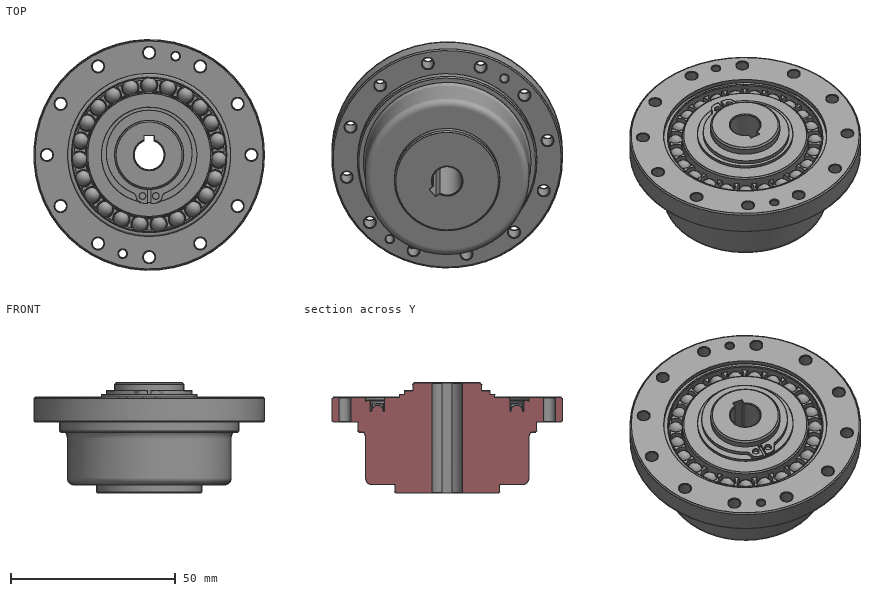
import cadquery as cq
import math

TOTAL_HEIGHT = 33.5
HOUSING_BOTTOM = 2.5
FLARE_START = 16.45
RIM_BOTTOM = 18.5
FLANGE_BOTTOM = 21.55
FLANGE_TOP = 29.1
SPACER_TOP = 29.95
CLIP_TOP = 31.15

FOOT_DIAMETER = 32.0
HOUSING_DIAMETER = 49.7
RIM_DIAMETER = 54.45
FLANGE_DIAMETER = 70.0
SPACER_DIAMETER = 29.0
HUB_DIAMETER = 21.0

FLANGE_CHAMFER = 0.4
HUB_CHAMFER = 0.5
SMALL_CHAMFER = 0.4
HOUSING_FILLET = 2.0
FLARE_RADIUS = 3.85

BORE_DIAMETER = 9.0
BORE_CHAMFER = 0.3
KEYWAY_WIDTH = 3.0
KEYWAY_REACH = 5.9

HOLE_CIRCLE_RADIUS = 31.0
BOLT_COUNT = 12
BOLT_DIAMETER = 3.5
DOWEL_DIAMETER = 2.45
DOWEL_ANGLES = (75.0, 255.0)
HOLE_CHAMFER = 0.2

OUTER_RING_DIAMETER = 49.5
OUTER_RACE_DIAMETER = 46.6
INNER_RING_DIAMETER = 38.15
OUTER_RING_TOP = 28.2
OUTER_RING_FILLET = 0.6
OUTER_RACE_CHAMFER = 0.3
BALL_COUNT = 23
BALL_DIAMETER = 4.7
BALL_CENTRE_LEVEL = 24.9
BALL_CIRCLE_RADIUS = (OUTER_RACE_DIAMETER + INNER_RING_DIAMETER) / 4
FIRST_BALL_ANGLE = 90.0
CAGE_INNER_RADIUS = 19.4
CAGE_OUTER_RADIUS = 22.75
CAGE_TOP = 27.1
CAGE_POCKET_DIAMETER = 5.25

CLIP_RADIUS = 13.0
CLIP_OFFSET = 0.55
LUG_RADIUS = 14.8
LUG_TIP_X = 2.25
LUG_CORNER = (3.35, -14.0)
LUG_SIDE = (3.9, -12.75)
LUG_NECK = (4.35, -11.9)
LUG_ROOT_X = 5.25
LUG_HOLE_DIAMETER = 2.0
LUG_HOLE_X = 2.0
LUG_HOLE_Y = -12.45
CLIP_GAP = 1.05


def disc(diameter, bottom, top):
    """Cylinder on the axis between two levels."""
    return cq.Workplane("XY").workplane(offset=bottom).circle(diameter / 2).extrude(top - bottom)


def ring(outer_diameter, inner_diameter, bottom, top):
    """Plain ring on the axis between two levels."""
    return disc(outer_diameter, bottom, top).cut(disc(inner_diameter, bottom, top))


def on_circle(radius, angle):
    """Point at an angle in degrees on a circle around the axis."""
    return (radius * math.cos(math.radians(angle)), radius * math.sin(math.radians(angle)))


def housing_flare():
    """Concave flare that widens the housing below the rim."""
    height = RIM_BOTTOM - FLARE_START
    radius = HOUSING_DIAMETER / 2

    def spread(rise):
        """How far the flare stands out from the housing at a height above its start."""
        return FLARE_RADIUS - math.sqrt(FLARE_RADIUS**2 - rise**2)

    return (
        cq.Workplane("XZ")
        .moveTo(0, FLARE_START)
        .lineTo(radius, FLARE_START)
        .threePointArc(
            (radius + spread(height / 2), FLARE_START + height / 2),
            (radius + spread(height), RIM_BOTTOM),
        )
        .lineTo(0, RIM_BOTTOM)
        .close()
        .revolve(360, (0, 0, 0), (0, 1, 0))
    )


def turned_body():
    """Foot, housing, rim, flange, spacer and hub stacked on the axis."""
    foot = disc(FOOT_DIAMETER, 0, HOUSING_BOTTOM).faces("<Z").chamfer(SMALL_CHAMFER)
    housing = disc(HOUSING_DIAMETER, HOUSING_BOTTOM, FLARE_START)
    housing = housing.faces("<Z").edges().fillet(HOUSING_FILLET)
    rim = disc(RIM_DIAMETER, RIM_BOTTOM, FLANGE_BOTTOM).faces("<Z").chamfer(SMALL_CHAMFER)
    flange = disc(FLANGE_DIAMETER, FLANGE_BOTTOM, FLANGE_TOP).edges().chamfer(FLANGE_CHAMFER)
    spacer = disc(SPACER_DIAMETER, FLANGE_TOP, SPACER_TOP)
    hub = disc(HUB_DIAMETER, SPACER_TOP, TOTAL_HEIGHT).faces(">Z").chamfer(HUB_CHAMFER)
    return foot.union(housing).union(housing_flare()).union(rim).union(flange).union(spacer).union(hub)


def bearing_channel():
    """Annular space above the outer ring and between both rings, down to the ball centres."""
    inner_ring = INNER_RING_DIAMETER / 2
    outer_race = OUTER_RACE_DIAMETER / 2
    outer_ring = OUTER_RING_DIAMETER / 2
    fillet_start = outer_ring - OUTER_RING_FILLET
    fillet_end = OUTER_RING_TOP - OUTER_RING_FILLET
    fillet_middle = OUTER_RING_FILLET * math.sqrt(0.5)
    return (
        cq.Workplane("XZ")
        .moveTo(inner_ring - SMALL_CHAMFER, FLANGE_TOP)
        .lineTo(inner_ring, FLANGE_TOP - SMALL_CHAMFER)
        .lineTo(inner_ring, BALL_CENTRE_LEVEL)
        .lineTo(outer_race, BALL_CENTRE_LEVEL)
        .lineTo(outer_race, OUTER_RING_TOP - OUTER_RACE_CHAMFER)
        .lineTo(outer_race + OUTER_RACE_CHAMFER, OUTER_RING_TOP)
        .lineTo(fillet_start, OUTER_RING_TOP)
        .threePointArc((fillet_start + fillet_middle, fillet_end + fillet_middle), (outer_ring, fillet_end))
        .lineTo(outer_ring, FLANGE_TOP)
        .close()
        .revolve(360, (0, 0, 0), (0, 1, 0))
    )


def cage_and_balls():
    """Cage posts with a ball in each pocket between them."""
    pitch = 360 / BALL_COUNT
    centres = [on_circle(BALL_CIRCLE_RADIUS, FIRST_BALL_ANGLE + i * pitch) for i in range(BALL_COUNT)]
    pockets = (
        cq.Workplane("XY").workplane(offset=BALL_CENTRE_LEVEL)
        .pushPoints(centres).circle(CAGE_POCKET_DIAMETER / 2).extrude(CAGE_TOP - BALL_CENTRE_LEVEL)
    )
    cage = ring(2 * CAGE_OUTER_RADIUS, 2 * CAGE_INNER_RADIUS, BALL_CENTRE_LEVEL, CAGE_TOP).cut(pockets)
    balls = (
        cq.Workplane("XY").workplane(offset=BALL_CENTRE_LEVEL)
        .pushPoints(centres).sphere(BALL_DIAMETER / 2)
    )
    return cage, balls


def mirrored(point):
    """Point reflected to the other side of the YZ plane."""
    return (-point[0], point[1])


def retaining_clip():
    """Eccentric clip around the hub with two drilled lugs and a gap between them."""
    root_y = CLIP_OFFSET - math.sqrt(CLIP_RADIUS**2 - LUG_ROOT_X**2)
    tip_y = -math.sqrt(LUG_RADIUS**2 - LUG_TIP_X**2)
    thickness = CLIP_TOP - SPACER_TOP
    plane = cq.Workplane("XY").workplane(offset=SPACER_TOP)
    outline = (
        plane.moveTo(-LUG_ROOT_X, root_y)
        .threePointArc(mirrored(LUG_NECK), mirrored(LUG_SIDE))
        .threePointArc(mirrored(LUG_CORNER), (-LUG_TIP_X, tip_y))
        .threePointArc((0, -LUG_RADIUS), (LUG_TIP_X, tip_y))
        .threePointArc(LUG_CORNER, LUG_SIDE)
        .threePointArc(LUG_NECK, (LUG_ROOT_X, root_y))
        .threePointArc((0, CLIP_OFFSET + CLIP_RADIUS), (-LUG_ROOT_X, root_y))
        .close().extrude(thickness)
    )
    holes = (
        plane.pushPoints([(-LUG_HOLE_X, LUG_HOLE_Y), (LUG_HOLE_X, LUG_HOLE_Y)])
        .circle(LUG_HOLE_DIAMETER / 2).extrude(thickness)
    )
    gap = plane.center(0, -LUG_RADIUS / 2).rect(CLIP_GAP, LUG_RADIUS).extrude(thickness)
    return outline.cut(holes).cut(gap)


def chamfered_drill(diameter, chamfer, bottom, top, at=(0, 0)):
    """Through-hole cutter that flares out at both ends."""
    radius = diameter / 2
    profile = [
        (0, bottom),
        (radius + chamfer, bottom),
        (radius, bottom + chamfer),
        (radius, top - chamfer),
        (radius + chamfer, top),
        (0, top),
    ]
    drill = cq.Workplane("XZ").polyline(profile).close().revolve(360, (0, 0, 0), (0, 1, 0))
    return drill.translate((at[0], at[1], 0))


def keyway():
    """Slot along the whole bore on the +Y side."""
    outline = cq.Workplane("XY").center(0, KEYWAY_REACH / 2).rect(KEYWAY_WIDTH, KEYWAY_REACH)
    return outline.extrude(TOTAL_HEIGHT)


body = turned_body().cut(bearing_channel()).union(retaining_clip())
cage, balls = cage_and_balls()
body = body.union(cage).union(balls)
body = body.cut(chamfered_drill(BORE_DIAMETER, BORE_CHAMFER, 0, TOTAL_HEIGHT)).cut(keyway())

holes = [(BOLT_DIAMETER, 360 / BOLT_COUNT * i) for i in range(BOLT_COUNT)]
holes += [(DOWEL_DIAMETER, angle) for angle in DOWEL_ANGLES]
for diameter, angle in holes:
    place = on_circle(HOLE_CIRCLE_RADIUS, angle)
    body = body.cut(chamfered_drill(diameter, HOLE_CHAMFER, FLANGE_BOTTOM, FLANGE_TOP, place))

result = body